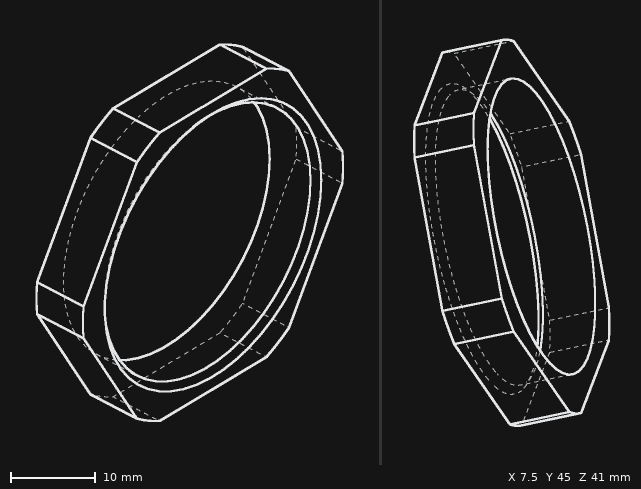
import cadquery as cq
import math

corner_diameter = 45.0
across_flats = 41.0
thickness = 7.5
bore_diameter = 35.62
bore_chamfer = 0.9

hexagon_corner_diameter = across_flats / math.cos(math.pi / 6)

hexagon = (
    cq.Workplane("YZ")
    .polygon(6, hexagon_corner_diameter)
    .extrude(thickness / 2, both=True)
)
round_bar = (
    cq.Workplane("YZ")
    .circle(corner_diameter / 2)
    .extrude(thickness / 2, both=True)
)
bore = (
    cq.Workplane("YZ")
    .circle(bore_diameter / 2)
    .extrude(thickness / 2, both=True)
)

ring = hexagon.intersect(round_bar).cut(bore)

result = ring.faces(">X").edges("%CIRCLE").edges(
    cq.selectors.RadiusNthSelector(0)
).chamfer(bore_chamfer)